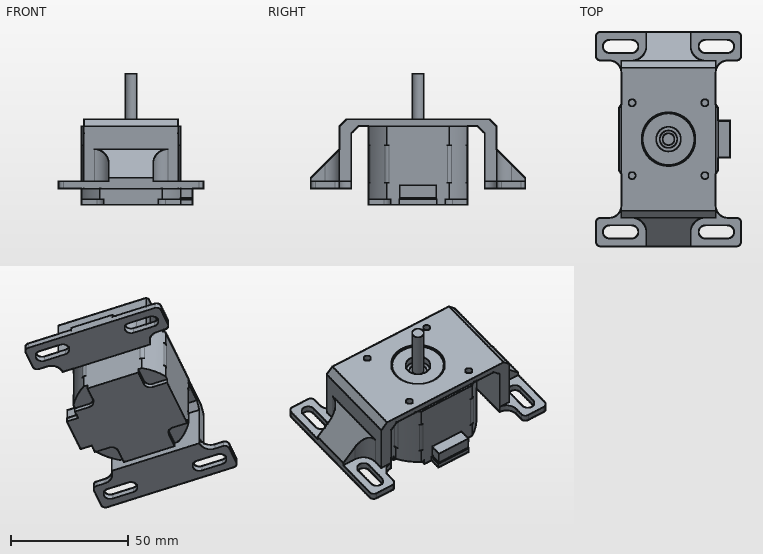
import cadquery as cq


BRACKET_WIDTH = 40.3
PLATE_THICKNESS = 3.0
BRACKET_HEIGHT = 29.7
LEG_OUTER_Y = 33.5
LEG_THICKNESS = 5.1
LEG_INNER_Y = LEG_OUTER_Y - LEG_THICKNESS
BEND_CHAMFER = 3.0
PILOT_HOLE_DIAMETER = 23.0

FOOT_LENGTH = 62.0
FOOT_OUTER_Y = 45.8
FOOT_THICKNESS = 3.2
FOOT_CORNER_RADIUS = 2.0
NECK_RADIUS = LEG_THICKNESS
SLOT_LENGTH = 15.0
SLOT_WIDTH = 5.5
SLOT_X = 20.4
SLOT_Y = 39.6
FOOT_BOTTOM_Z = PLATE_THICKNESS - BRACKET_HEIGHT
FOOT_TOP_Z = FOOT_BOTTOM_Z + FOOT_THICKNESS

GUSSET_WIDTH = 18.9
GUSSET_FILLET = 6.2
GUSSET_LIP = 1.4

CASE_WIDTH = 42.3
CASE_CORNER_DIAMETER = 50.0
CASE_HEIGHT = 33.5
TOP_CAP_HEIGHT = 8.1
STACK_HEIGHT = 16.0
STACK_EDGE_RADIUS = 3.0
CORNER_NOTCH_HALF_GAP = 11.6
CORNER_NOTCH_HEIGHT = 2.3
CORNER_NOTCH_RADIUS = 3.0

PILOT_DIAMETER = 22.0
PILOT_HEIGHT = 2.5
PILOT_RECESS_DIAMETER = 10.5
PILOT_RECESS_DEPTH = 3.5
COLLAR_DIAMETER = 7.4
COLLAR_HEIGHT = 0.2
SHAFT_DIAMETER = 5.0
SHAFT_TOP_Z = 22.4
SCREW_PITCH = 31.05
SCREW_HOLE_DIAMETER = 3.0

CONNECTOR_END_X = 26.3
CONNECTOR_PLATE_WIDTH = 15.9
CONNECTOR_SHELL_WIDTH = 15.4
CONNECTOR_SHELL_HEIGHT = 5.5
CONNECTOR_GAP = 0.6


def bridge_and_legs():
    """U-shaped channel with chamfered bends, open downwards."""
    plus_y_half = [
        (LEG_OUTER_Y - BEND_CHAMFER, PLATE_THICKNESS),
        (LEG_OUTER_Y, PLATE_THICKNESS - BEND_CHAMFER),
        (LEG_OUTER_Y, FOOT_BOTTOM_Z),
        (LEG_INNER_Y, FOOT_BOTTOM_Z),
        (LEG_INNER_Y, -BEND_CHAMFER),
        (LEG_INNER_Y - BEND_CHAMFER, 0),
    ]
    minus_y_half = [(-y, z) for y, z in reversed(plus_y_half)]
    profile = cq.Workplane("YZ").polyline(plus_y_half + minus_y_half).close()
    return profile.extrude(BRACKET_WIDTH / 2, both=True)


def foot():
    """Slotted foot under the +Y leg, with concave necks into the leg."""
    depth = FOOT_OUTER_Y - LEG_INNER_Y
    flange_depth = FOOT_OUTER_Y - LEG_OUTER_Y
    base = cq.Workplane("XY", origin=(0, 0, FOOT_BOTTOM_Z))
    flange = (
        base.center(0, FOOT_OUTER_Y - flange_depth / 2)
        .rect(FOOT_LENGTH, flange_depth)
        .extrude(FOOT_THICKNESS)
        .edges("|Z")
        .fillet(FOOT_CORNER_RADIUS)
    )
    neck_width = BRACKET_WIDTH + 2 * NECK_RADIUS
    neck = (
        base.center(0, FOOT_OUTER_Y - depth / 2)
        .rect(neck_width, depth)
        .extrude(FOOT_THICKNESS)
    )
    neck_arcs = (
        base.pushPoints([(side * neck_width / 2, LEG_OUTER_Y - NECK_RADIUS) for side in (-1, 1)])
        .circle(NECK_RADIUS)
        .extrude(FOOT_THICKNESS)
    )
    slots = (
        base.pushPoints([(side * SLOT_X, SLOT_Y) for side in (-1, 1)])
        .slot2D(SLOT_LENGTH, SLOT_WIDTH)
        .extrude(FOOT_THICKNESS)
    )
    return flange.union(neck.cut(neck_arcs)).cut(slots)


def gusset():
    """45 degree wedge on the +Y foot, flared into the leg by concave fillets."""
    reach = FOOT_OUTER_Y - LEG_OUTER_Y
    height = GUSSET_LIP + reach
    flared_width = GUSSET_WIDTH + 2 * GUSSET_FILLET
    wedge = (
        cq.Workplane("YZ")
        .moveTo(LEG_OUTER_Y, FOOT_TOP_Z)
        .lineTo(FOOT_OUTER_Y, FOOT_TOP_Z)
        .lineTo(FOOT_OUTER_Y, FOOT_TOP_Z + GUSSET_LIP)
        .lineTo(LEG_OUTER_Y, FOOT_TOP_Z + height)
        .close()
        .extrude(flared_width / 2, both=True)
    )
    base = cq.Workplane("XY", origin=(0, 0, FOOT_TOP_Z))
    fillet_center_y = LEG_OUTER_Y + GUSSET_FILLET
    for side in (-1, 1):
        fillet_center_x = side * flared_width / 2
        arc = base.center(fillet_center_x, fillet_center_y).circle(GUSSET_FILLET).extrude(height)
        straight_length = FOOT_OUTER_Y - fillet_center_y
        straight = (
            base.center(fillet_center_x, fillet_center_y + straight_length / 2)
            .rect(2 * GUSSET_FILLET, straight_length)
            .extrude(height)
        )
        wedge = wedge.cut(arc).cut(straight)
    return wedge


def build_bracket():
    """Channel with a foot and gusset on each leg, bored for pilot and screws."""
    bracket = bridge_and_legs()
    foot_and_gusset = foot().union(gusset())
    bracket = bracket.union(foot_and_gusset).union(foot_and_gusset.mirror("XZ"))
    pilot_hole = cq.Workplane("XY").circle(PILOT_HOLE_DIAMETER / 2).extrude(PLATE_THICKNESS)
    screw_holes = (
        cq.Workplane("XY")
        .rect(SCREW_PITCH, SCREW_PITCH, forConstruction=True)
        .vertices()
        .circle(SCREW_HOLE_DIAMETER / 2)
        .extrude(PLATE_THICKNESS)
    )
    return bracket.cut(pilot_hole).cut(screw_holes)


def case_layer(top_z, height):
    """Square block with its corners turned to a common cylinder."""
    base = cq.Workplane("XY", origin=(0, 0, top_z - height))
    turned = base.circle(CASE_CORNER_DIAMETER / 2).extrude(height)
    return base.rect(CASE_WIDTH, CASE_WIDTH).extrude(height).intersect(turned)


def corner_notches():
    """Rounded-in relief at each corner of the case bottom."""
    block_width = CASE_WIDTH
    block_pitch = 2 * CORNER_NOTCH_HALF_GAP + block_width
    block = (
        cq.Workplane("XY", origin=(0, 0, -CASE_HEIGHT))
        .rect(block_pitch, block_pitch, forConstruction=True)
        .vertices()
        .rect(block_width, block_width)
        .extrude(CORNER_NOTCH_HEIGHT)
    )
    return block.edges("|Z").fillet(CORNER_NOTCH_RADIUS)


def connector():
    """Base plate and shell with a thin open gap between them."""
    plate_bottom_z = -CASE_HEIGHT
    shell_bottom_z = plate_bottom_z + CORNER_NOTCH_HEIGHT + CONNECTOR_GAP
    plate = (
        cq.Workplane("XY", origin=(CONNECTOR_END_X / 2, 0, plate_bottom_z))
        .rect(CONNECTOR_END_X, CONNECTOR_PLATE_WIDTH)
        .extrude(CORNER_NOTCH_HEIGHT)
    )
    shell = (
        cq.Workplane("XY", origin=(CONNECTOR_END_X / 2, 0, shell_bottom_z))
        .rect(CONNECTOR_END_X, CONNECTOR_SHELL_WIDTH)
        .extrude(CONNECTOR_SHELL_HEIGHT)
    )
    return plate.union(shell)


def build_motor():
    """Case of two caps and a laminated stack, with connector, pilot and shaft."""
    bottom_cap_height = CASE_HEIGHT - TOP_CAP_HEIGHT - STACK_HEIGHT
    top_cap = case_layer(0, TOP_CAP_HEIGHT)
    stack = case_layer(-TOP_CAP_HEIGHT, STACK_HEIGHT).edges("|Z").fillet(STACK_EDGE_RADIUS)
    bottom_cap = case_layer(-TOP_CAP_HEIGHT - STACK_HEIGHT, bottom_cap_height).cut(corner_notches())
    recess_floor_z = PILOT_HEIGHT - PILOT_RECESS_DEPTH
    pilot = cq.Workplane("XY").circle(PILOT_DIAMETER / 2).extrude(PILOT_HEIGHT)
    floor_plane = cq.Workplane("XY", origin=(0, 0, recess_floor_z))
    recess = floor_plane.circle(PILOT_RECESS_DIAMETER / 2).extrude(PILOT_RECESS_DEPTH)
    collar = floor_plane.circle(COLLAR_DIAMETER / 2).extrude(COLLAR_HEIGHT)
    shaft = floor_plane.circle(SHAFT_DIAMETER / 2).extrude(SHAFT_TOP_Z - recess_floor_z)
    motor = top_cap.union(stack).union(bottom_cap).union(connector()).union(pilot)
    return motor.cut(recess).union(collar).union(shaft)


bracket = build_bracket()
motor = build_motor()
result = cq.Compound.makeCompound([bracket.val(), motor.val()])